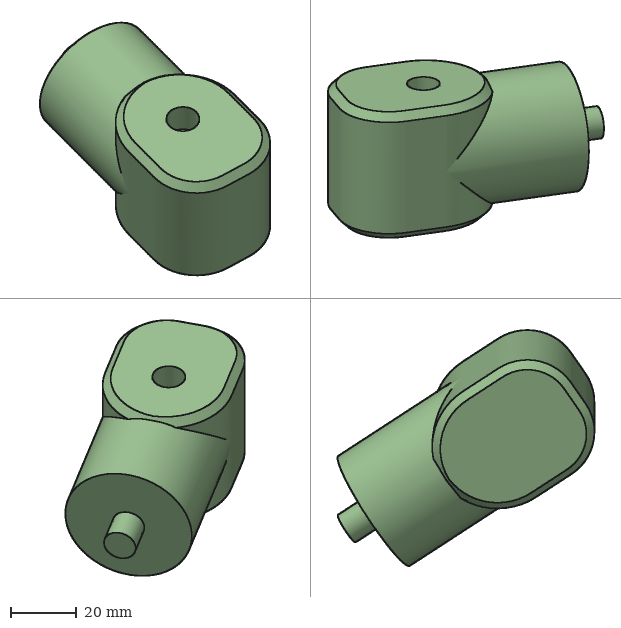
import cadquery as cq
import math

total_length = 85.0
body_diameter = 40.0
head_height = 42.0
pin_diameter = 10.0
pin_length = 10.0
hole_depth = 10.0
hole_x = 56.5
edge_chamfer = 2.5
nose_center_x = 56.0
nose_radius = 21.0
corner_radius = 16.0

body_radius = body_diameter / 2
corner_center_x = total_length - corner_radius
flat_half_width = body_radius - corner_radius

nose_center_offset = nose_radius - body_radius
nose_tip_angle = math.asin(nose_center_offset / nose_radius)
nose_tip_x = nose_center_x - nose_radius * math.cos(nose_tip_angle)
nose_middle_angle = (nose_tip_angle + math.pi / 2) / 2
nose_middle_x = nose_center_x - nose_radius * math.cos(nose_middle_angle)
nose_middle_y = nose_radius * math.sin(nose_middle_angle) - nose_center_offset


def x_cylinder(start_x, end_x, diameter):
    """Solid cylinder lying on the X axis."""
    plane = cq.Workplane("YZ", origin=(start_x, 0, 0))
    return plane.circle(diameter / 2).extrude(end_x - start_x)


def make_head():
    """Upright block with a slightly pointed nose, two rounded rear corners and chamfered rims."""
    diagonal = corner_radius * math.sqrt(0.5)
    outline = (
        cq.Workplane("XY", origin=(0, 0, -head_height / 2))
        .moveTo(nose_center_x, body_radius)
        .threePointArc((nose_middle_x, nose_middle_y), (nose_tip_x, 0))
        .threePointArc((nose_middle_x, -nose_middle_y), (nose_center_x, -body_radius))
        .lineTo(corner_center_x, -body_radius)
        .threePointArc(
            (corner_center_x + diagonal, -flat_half_width - diagonal),
            (total_length, -flat_half_width),
        )
        .lineTo(total_length, flat_half_width)
        .threePointArc(
            (corner_center_x + diagonal, flat_half_width + diagonal),
            (corner_center_x, body_radius),
        )
        .close()
    )
    return outline.extrude(head_height).faces("|Z").chamfer(edge_chamfer)


def make_hole():
    """Blind round hole entering the head from the top."""
    plane = cq.Workplane("XY", origin=(hole_x, 0, head_height / 2))
    return plane.circle(pin_diameter / 2).extrude(-hole_depth)


pin = x_cylinder(0, pin_length, pin_diameter)
body = x_cylinder(pin_length, nose_center_x, body_diameter)
result = make_head().union(body).union(pin).cut(make_hole())